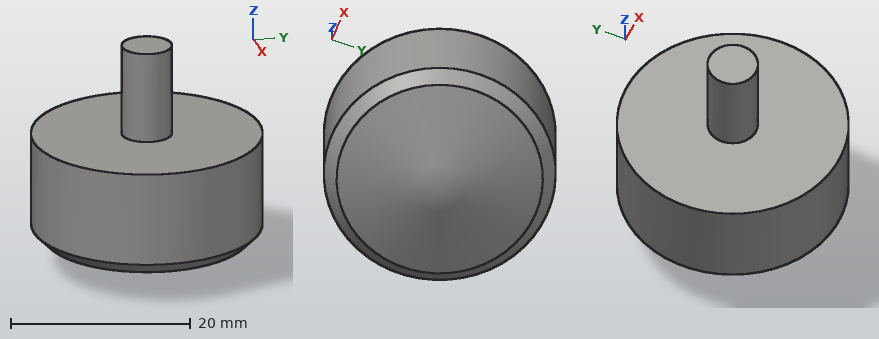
import cadquery as cq

total_height = 26.1
body_diameter = 25.8
stem_diameter = 5.6

stem_height = 10.47
chamfer_size = 1.44
cone_height = 3.45

body_radius = body_diameter / 2
stem_radius = stem_diameter / 2
cone_radius = body_radius - chamfer_size
chamfer_top = cone_height + chamfer_size
body_top = total_height - stem_height

half_profile = (
    cq.Workplane("XZ")
    .moveTo(0, 0)
    .lineTo(cone_radius, cone_height)
    .lineTo(body_radius, chamfer_top)
    .lineTo(body_radius, body_top)
    .lineTo(stem_radius, body_top)
    .lineTo(stem_radius, total_height)
    .lineTo(0, total_height)
    .close()
)

result = half_profile.revolve(360, (0, 0, 0), (0, 1, 0))